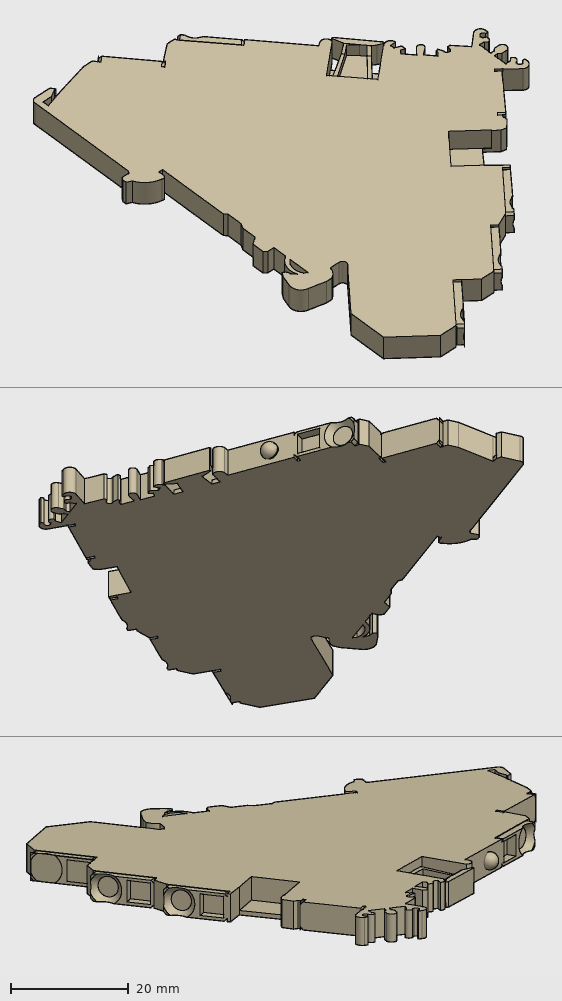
import cadquery as cq
import math

THICKNESS = 5.0
MID_HEIGHT = THICKNESS / 2
WEB = 0.8
SLOPE = math.radians(40.4)
LEFT = -1
RIGHT = 1
CENTRE_X = 45.4

FACE_LENGTH = 11.4
FACE_DEPTH = 1.5
END_CHAMFER = 0.55
STRIP_DROP = 0.1
FUNNEL_FROM_END = 2.7
FUNNEL_MOUTH_RADIUS = 2.9
FUNNEL_FLOOR_RADIUS = 1.8
FUNNEL_DEPTH = 1.3
SOCKET_FROM_TOP = 0.6
SOCKET_LENGTH = 4.2
SOCKET_HEIGHT = 3.8
SOCKET_DEPTH = 1.8

BUMP_CENTRE = (17.4, 42.05)
BUMP_RADIUS = 1.55

TAG_POCKET_CORNER = (24.4, 49.5)
TAG_POCKET_LENGTH = 8.8
TAG_POCKET_DEPTH = 8.6
TAG_OPENING = 2.7
TAG_MOUTH_CLEARANCE = 0.7
TAG_HEAD_HEIGHT = 4.6
TAG_STEM_HEIGHT = 3.5
TAG_RAMP = 1.5
TAG_RECESS_FLOOR = 2.0

SIDE_POCKET_CORNER = (54.3, 48.6)
SIDE_POCKET_LENGTH = 8.7
SIDE_POCKET_DEPTH = 7.3


def on_flank(start, side, down, inward=0.0):
    """Point reached from start by going down a flank and into the plate."""
    x = start[0] + side * (down * math.cos(SLOPE) - inward * math.sin(SLOPE))
    y = start[1] - down * math.sin(SLOPE) - inward * math.cos(SLOPE)
    return (x, y)


def opposite(x):
    """X position mirrored across the centre of the top claws."""
    return 2 * CENTRE_X - x


def closed_profile(start, steps):
    """Closed wire: each step is an (end,) line or a (middle, end) arc."""
    sketch = cq.Workplane("XY").moveTo(*start)
    for step in steps:
        if len(step) == 1:
            sketch = sketch.lineTo(*step[0])
        else:
            sketch = sketch.threePointArc(*step)
    return sketch.close()


def lines(*points):
    """Straight steps through the given points."""
    return [(point,) for point in points]


def prism(points, bottom, top):
    """Straight-sided block with the given plan points."""
    return cq.Workplane("XY").workplane(offset=bottom).polyline(points).close().extrude(top - bottom)


def flank_block(start, side, length, depth, bottom, top):
    """Rectangular block lying along a flank, from start downwards and inwards."""
    corners = [(0, 0), (length, 0), (length, depth), (0, depth)]
    return prism([on_flank(start, side, *corner) for corner in corners], bottom, top)


def flank_plane(start, side):
    """Plane facing into the plate, x axis down the flank, at mid height."""
    down = (side * math.cos(SLOPE), -math.sin(SLOPE), 0)
    into = (-side * math.sin(SLOPE), -math.cos(SLOPE), 0)
    return cq.Plane(origin=(*start, MID_HEIGHT), xDir=down, normal=into)


LEFT_STRIP = (5.2, 31.6)
RIGHT_STRIPS = [(76.8, 42.9), (85.8, 31.6), (91.4, 17.6)]
LEFT_PLAIN_FACE = (0.0, 18.1)
RIGHT_PLAIN_FACE = (57.95, 58.6)

STRIPS = [(LEFT_STRIP, LEFT)] + [(corner, RIGHT) for corner in RIGHT_STRIPS]
PLAIN_FACES = [(LEFT_PLAIN_FACE, LEFT), (RIGHT_PLAIN_FACE, RIGHT)]


def upper_end(corner, side):
    return on_flank(corner, side, -FACE_LENGTH)


def inner_end(corner, side):
    return on_flank(corner, side, 0, FACE_DEPTH)


def make_body():
    foot_and_left_flank = lines(
        (0.2, 6.6), (0.9, 7.1), (2.0, 7.3), (0.2, 14.4), (0.2, 16.45), (0.9, 17.0),
        LEFT_PLAIN_FACE, (8.5, 25.1), (5.8, 28.6), (5.8, 30.4),
        inner_end(LEFT_STRIP, LEFT), LEFT_STRIP, (23.7, 47.1), (23.1, 47.9),
    )
    tag_mouth = [((23.3, 49.2), TAG_POCKET_CORNER)] + lines((30.8, 55.2))
    marker_clip = (
        lines((30.8, 56.3))
        + [((31.2, 56.95), (32.0, 57.2))]
        + lines((32.0, 56.0), (32.8, 56.0), (33.4, 57.3), (34.3, 57.3), (34.0, 56.4), (34.7, 55.9))
        + lines((36.75, 57.7), (35.4, 58.9))
        + [((35.3, 59.9), (36.3, 60.1))]
        + lines((37.5, 58.5), (39.4, 60.15), (38.85, 60.7), (38.3, 60.7), (38.1, 61.2), (39.2, 61.7))
        + [((39.95, 62.3), (39.4, 62.8))]
        + lines((38.85, 62.9), (38.85, 63.4), (41.6, 65.9))
    )
    top_and_right_flank = lines(
        (42.1, 67.2), (opposite(42.1), 67.2), (opposite(41.6), 65.9), (49.6, 65.45),
        RIGHT_PLAIN_FACE, (57.6, 58.1), (58.0, 57.9), (58.9, 57.95), (60.4, 56.4), (60.15, 55.3),
        (58.1, 52.9), (64.8, 47.5), (67.55, 50.55), RIGHT_STRIPS[0],
        inner_end(RIGHT_STRIPS[0], RIGHT), (77.1, 39.0), RIGHT_STRIPS[1],
        inner_end(RIGHT_STRIPS[1], RIGHT), (84.9, 30.5), (84.9, 27.6), (82.7, 25.05), RIGHT_STRIPS[2],
        inner_end(RIGHT_STRIPS[2], RIGHT), (90.4, 16.7), (90.4, 13.0), (84.1, 5.6), (76.05, 5.6),
        (67.0, 13.3),
    )
    rail_latch = (
        [((65.9, 13.6), (65.4, 12.8))]
        + lines((65.4, 10.8))
        + [((66.55, 10.2), (67.4, 9.2))]
        + lines((67.4, 7.95), (66.55, 4.6))
        + [((65.5, 3.0), (63.7, 2.7))]
        + lines((61.6, 3.4), (60.6, 4.0), (61.0, 4.7), (61.8, 4.8), (62.7, 5.7))
        + [((60.7, 5.4), (58.0, 7.2))]
    )
    underside = (
        lines((55.1, 7.2), (55.1, 5.85), (54.6, 5.2), (52.1, 5.2), (51.0, 6.7), (48.0, 6.7))
        + lines((47.0, 7.2), (43.8, 7.2), (43.1, 6.7), (28.1, 6.7), (28.1, 5.85), (29.25, 5.85))
        + [((29.7, 5.6), (29.7, 5.0)), ((28.6, 2.6), (26.6, 1.0))]
        + lines((26.1, 0.0), (25.3, 0.0), (24.8, 0.4), (24.8, 1.9), (24.4, 2.2), (1.2, 2.2))
        + [((0.5, 2.5), (0.2, 3.1))]
    )
    steps = foot_and_left_flank + tag_mouth + marker_clip + top_and_right_flank + rail_latch + underside
    return closed_profile((0.2, 3.1), steps).extrude(THICKNESS)


def make_spring_slot():
    """Through slot behind the spring leaf of the rail latch."""
    steps = [((61.0, 6.1), (63.2, 6.6))] + lines((63.6, 7.2))
    return closed_profile((59.1, 7.2), steps).extrude(THICKNESS)


def make_pin():
    steps = (
        lines((45.0, 67.9), (44.5, 68.5), (44.5, 69.5))
        + [((CENTRE_X, 70.4), (opposite(44.5), 69.5))]
        + lines((opposite(44.5), 68.5), (opposite(45.0), 67.9), (opposite(45.0), 66.7))
    )
    return closed_profile((45.0, 66.7), steps).extrude(THICKNESS)


def make_left_claw():
    steps = (
        lines((39.3, 68.5))
        + [((39.3, 69.9), (40.2, 70.4))]
        + lines((40.9, 70.4), (40.9, 69.8))
        + [((40.3, 69.3), (40.95, 68.65))]
        + lines((41.3, 68.7))
        + [((42.2, 69.4), (42.7, 68.7))]
        + lines((42.2, 68.3), (42.1, 67.2), (43.0, 65.9))
    )
    return closed_profile((41.6, 65.9), steps).extrude(THICKNESS)


def make_bump():
    return cq.Workplane("XY").sphere(BUMP_RADIUS).translate((*BUMP_CENTRE, MID_HEIGHT))


def end_chamfers(corner, side):
    """Wedges that bevel both ends of a wiring face along its upper and lower edges."""
    wedges = cq.Workplane(flank_plane(corner, side))
    for end, towards_middle in ((0, -1), (-FACE_LENGTH, 1)):
        for edge in (-MID_HEIGHT, MID_HEIGHT):
            inset = math.copysign(MID_HEIGHT - END_CHAMFER, edge)
            wedges = wedges.polyline([(end, edge), (end + towards_middle * END_CHAMFER, edge), (end, inset)])
            wedges = wedges.close()
    return wedges.extrude(FACE_DEPTH)


def strip_cuts(corner, side):
    """Lowered strip surface with a screw funnel and a wire socket in its edge."""
    surface = flank_block(
        upper_end(corner, side), side, FACE_LENGTH, FACE_DEPTH, THICKNESS - STRIP_DROP, THICKNESS
    )
    funnel = (
        cq.Workplane(flank_plane(corner, side))
        .center(-FUNNEL_FROM_END, 0)
        .circle(FUNNEL_MOUTH_RADIUS)
        .workplane(offset=FUNNEL_DEPTH)
        .circle(FUNNEL_FLOOR_RADIUS)
        .loft()
    )
    socket_start = on_flank(upper_end(corner, side), side, SOCKET_FROM_TOP)
    socket = flank_block(
        socket_start, side, SOCKET_LENGTH, SOCKET_DEPTH,
        MID_HEIGHT - SOCKET_HEIGHT / 2, MID_HEIGHT + SOCKET_HEIGHT / 2,
    )
    return surface.union(funnel).union(socket)


def make_tag_pocket():
    """Pocket that is open right through near its mouth and has a thin floor behind."""
    mouth_top = on_flank(TAG_POCKET_CORNER, LEFT, -TAG_POCKET_LENGTH)
    outside = on_flank(mouth_top, LEFT, 0, -TAG_MOUTH_CLEARANCE)
    opening_depth = TAG_MOUTH_CLEARANCE + TAG_OPENING
    opening = flank_block(outside, LEFT, TAG_POCKET_LENGTH, opening_depth, 0, THICKNESS)
    pocket = flank_block(mouth_top, LEFT, TAG_POCKET_LENGTH, TAG_POCKET_DEPTH, WEB, THICKNESS)
    return opening.union(pocket)


def make_tag():
    """T-shaped marker tag: a full-width head and a hollowed, tapering stem."""
    head = prism(
        [(30.6, 56.1), (30.1, 56.0), (23.4, 50.55), (23.5, 50.3), (25.8, 50.9), (29.4, 53.9), (30.0, 54.8)],
        0, TAG_HEAD_HEIGHT,
    )
    ramp_profile = [
        (0, 0), (0, TAG_HEAD_HEIGHT), (TAG_RAMP, TAG_STEM_HEIGHT),
        (TAG_POCKET_DEPTH, TAG_STEM_HEIGHT), (TAG_POCKET_DEPTH, 0),
    ]
    head_corner = (25.8, 50.9)
    into = (math.sin(SLOPE), -math.cos(SLOPE), 0)
    downhill = (-math.cos(SLOPE), -math.sin(SLOPE), 0)
    side_plane = cq.Plane(origin=(*head_corner, 0), xDir=into, normal=downhill)
    ramp = cq.Workplane(side_plane).polyline(ramp_profile).close().extrude(TAG_POCKET_LENGTH, both=True)
    stem = prism([(25.8, 50.9), (30.4, 43.5), (35.8, 48.3), (29.4, 53.9)], 0, TAG_HEAD_HEIGHT)
    recess = prism(
        [(26.3, 51.1), (30.5, 44.9), (34.5, 48.4), (28.8, 53.6)], TAG_RECESS_FLOOR, TAG_HEAD_HEIGHT
    )
    return head.union(stem.intersect(ramp).cut(recess))


def make_side_pocket():
    return flank_block(SIDE_POCKET_CORNER, RIGHT, SIDE_POCKET_LENGTH, -SIDE_POCKET_DEPTH, WEB, THICKNESS)


def make_foot_pocket():
    """Pocket between the lower left flank and the upright lip of the foot."""
    outline = [(2.0, 7.3), (1.1, 7.2), (1.1, 6.8), (1.9, 5.3), (1.9, 3.4), (3.2, 3.4)]
    return prism(outline, WEB, THICKNESS)


left_claw = make_left_claw()
right_claw = left_claw.mirror("YZ", (CENTRE_X, 0, 0))

result = make_body().cut(make_spring_slot())
result = result.cut(make_tag_pocket()).union(make_tag())
result = result.cut(make_side_pocket()).cut(make_foot_pocket())
result = result.union(make_pin()).union(left_claw).union(right_claw)
result = result.union(make_bump())
for corner, side in STRIPS:
    result = result.cut(strip_cuts(corner, side))
for corner, side in STRIPS + PLAIN_FACES:
    result = result.cut(end_chamfers(corner, side))